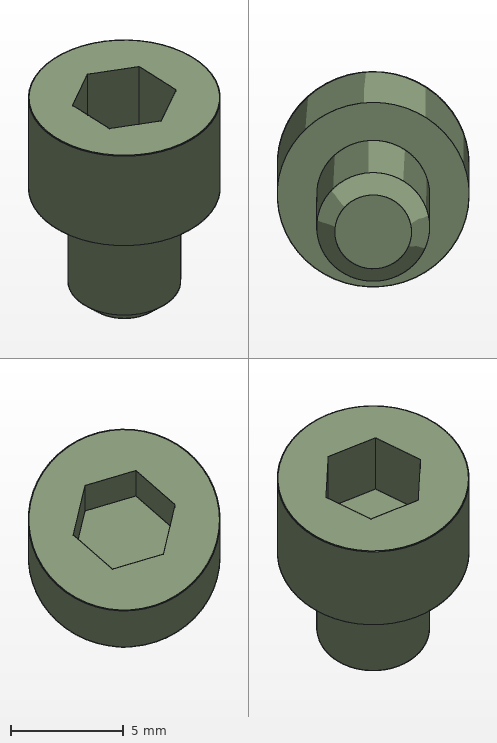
import cadquery as cq
import math

total_length = 11.0
head_diameter = 8.5
head_height = 5.0
head_edge_chamfer = 0.03
shank_diameter = 5.0
tip_chamfer = 0.8
socket_across_flats = 4.09
socket_depth = 3.5

shank_length = total_length - head_height


def make_shank():
    """Plain cylinder with a chamfered tip."""
    shank = cq.Workplane("XY").circle(shank_diameter / 2).extrude(shank_length)
    return shank.faces("<Z").edges().chamfer(tip_chamfer)


def make_head():
    """Cylindrical head with its top edge lightly broken."""
    head = cq.Workplane("XY").workplane(offset=shank_length).circle(head_diameter / 2).extrude(head_height)
    return head.faces(">Z").edges().chamfer(head_edge_chamfer)


def make_socket():
    """Hexagonal drive recess with two corners on the X axis."""
    across_corners = socket_across_flats / math.cos(math.radians(30))
    mouth = cq.Workplane("XY").workplane(offset=total_length)
    return mouth.polygon(6, across_corners).extrude(-socket_depth)


result = make_shank().union(make_head()).cut(make_socket())